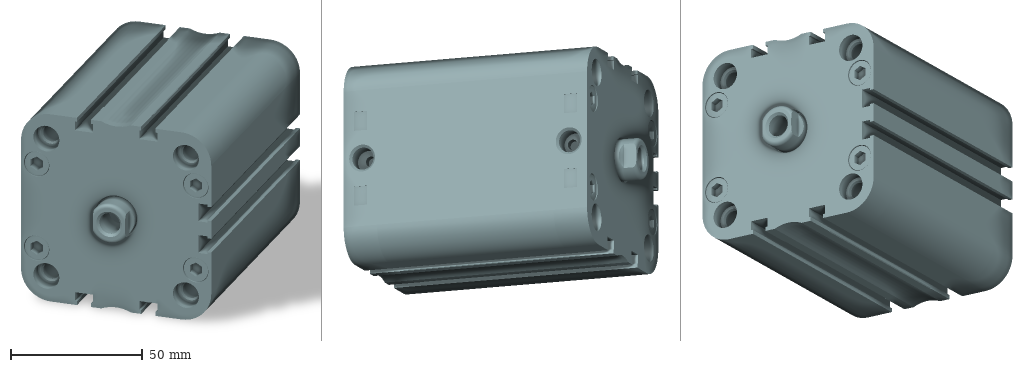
import cadquery as cq
import math


side = 77.0
half = side / 2
corner_radius = 12.0
housing_length = 99.0
cap_length = 13.6
body_length = housing_length - 2 * cap_length
front_y = 0.0
rear_y = front_y + housing_length

slot_opening = 5.7
slot_width = 7.3
slot_depth = 5.2
slot_lip = 1.6
slot_offset_top = 13.0
slot_offset_side = 6.5
slot_edge_chamfer = 0.3
hollow_width = 12.0
hollow_depth = 1.3

mount_offset = 28.25
mount_bore = 6.65
mount_mouth = 8.05
mount_counterbore = 10.5
mount_counterbore_depth = 5.0

screw_x = 32.2
screw_z = 17.3
screw_pocket = 10.3
screw_head = 9.8
screw_gap_depth = 2.0
screw_recess = 0.3
hex_across_flats = 5.0
hex_depth = 3.0

port_inset = 7.5
port_bore = 8.57
port_mouth = 10.5
port_depth = 7.0
duct_bore = 4.0
duct_shift = 0.95
duct_depth = 3.0

label_inset = 6.8
label_z = 14.6
label_length = 5.2
label_height = 7.4
label_depth = 0.2

rod_diameter = 16.0
rod_projection = 8.0
rod_end_round = 1.5
rod_gap_bore = 16.5
rod_gap_mouth = 17.5
rod_gap_depth = 2.0
rod_flats = 13.0
rod_flat_start = 1.4
rod_thread_bore = 8.38
rod_thread_mouth = 10.3
rod_thread_depth = 12.0


def prism(sketch_points, start_y, length):
    """Closed XZ polygon extruded towards +Y."""
    return cq.Workplane("XZ", origin=(0, start_y, 0)).polyline(sketch_points).close().extrude(-length)


def cylinder(diameter, start, direction, length):
    solid = cq.Solid.makeCylinder(diameter / 2, length, cq.Vector(*start), cq.Vector(*direction))
    return cq.Workplane(solid)


def chamfered_mouth(mouth, bore, start, direction):
    """45 degree countersink narrowing from the mouth to the bore."""
    depth = (mouth - bore) / 2
    cone = cq.Solid.makeCone(mouth / 2, bore / 2, depth, cq.Vector(*start), cq.Vector(*direction))
    return cq.Workplane(cone)


def slot_cutter(offset):
    """T-slot in the +Z face, running the full length of the housing."""
    lip_z = half - slot_lip
    floor_z = half - slot_depth
    points = [
        (offset + slot_opening / 2, half),
        (offset + slot_opening / 2, lip_z),
        (offset + slot_width / 2, lip_z),
        (offset + slot_width / 2, floor_z),
        (offset - slot_width / 2, floor_z),
        (offset - slot_width / 2, lip_z),
        (offset - slot_opening / 2, lip_z),
        (offset - slot_opening / 2, half),
    ]
    return prism(points, front_y, housing_length)


def slot_edge_cutter():
    """Chamfer on the slot lip nearest the centre plane, along the body only."""
    edge_x = slot_offset_top - slot_opening / 2
    points = [
        (edge_x, half),
        (edge_x, half - slot_edge_chamfer),
        (edge_x - slot_edge_chamfer, half),
    ]
    return prism(points, front_y + cap_length, body_length)


def hollow_cutter(start_y, length):
    """Circular segment removed from the top face."""
    return (
        cq.Workplane("XZ", origin=(0, start_y, 0))
        .moveTo(-hollow_width / 2, half)
        .threePointArc((0, half - hollow_depth), (hollow_width / 2, half))
        .close()
        .extrude(-length)
    )


def housing_section(start_y, length):
    """Rounded square block with the shallow hollow along its top and bottom."""
    section = (
        cq.Workplane("XY")
        .box(side, length, side)
        .edges("|Y")
        .fillet(corner_radius)
        .translate((0, start_y + length / 2, 0))
    )
    hollow = hollow_cutter(start_y, length)
    return section.cut(hollow).cut(hollow.mirror("XY"))


def housing():
    front_cap = housing_section(front_y, cap_length)
    body = housing_section(front_y + cap_length, body_length)
    rear_cap = housing_section(rear_y - cap_length, cap_length)
    return front_cap.union(body, clean=False).union(rear_cap, clean=False)


def cut_slots(part):
    """Two T-slots each on the top, bottom and +X faces."""
    for cutter in (slot_cutter(slot_offset_top), slot_edge_cutter()):
        for top_cutter in (cutter, cutter.mirror("YZ")):
            part = part.cut(top_cutter, clean=False)
            part = part.cut(top_cutter.mirror("XY"), clean=False)
    for offset in (-slot_offset_side, slot_offset_side):
        side_slot = slot_cutter(offset).rotate((0, 0, 0), (0, 1, 0), 90)
        part = part.cut(side_slot, clean=False)
    return part


def cut_mounting_holes(part):
    inward = (0, 1, 0)
    for x in (-mount_offset, mount_offset):
        for z in (-mount_offset, mount_offset):
            shoulder = (x, front_y + mount_counterbore_depth, z)
            part = part.cut(cylinder(mount_bore, (x, front_y, z), inward, housing_length), clean=False)
            part = part.cut(
                cylinder(mount_counterbore, (x, front_y, z), inward, mount_counterbore_depth), clean=False
            )
            part = part.cut(chamfered_mouth(mount_mouth, mount_bore, shoulder, inward), clean=False)
    return part


def cut_screws(part):
    """Screw heads stand in their pockets with a thin gap around them."""
    inward = (0, 1, 0)
    hex_corners = hex_across_flats / math.cos(math.pi / 6)
    for x in (-screw_x, screw_x):
        for z in (-screw_z, screw_z):
            pocket = cylinder(screw_pocket, (x, front_y, z), inward, screw_gap_depth)
            head = cylinder(screw_head, (x, front_y + screw_recess, z), inward, screw_gap_depth)
            socket = (
                cq.Workplane("XZ", origin=(x, front_y, z))
                .transformed(rotate=(0, 0, 90))
                .polygon(6, hex_corners)
                .extrude(-(screw_recess + hex_depth))
            )
            part = part.cut(pocket.cut(head), clean=False).cut(socket, clean=False)
    return part


def cut_ports(part):
    inward = (1, 0, 0)
    for end_y, to_middle in ((front_y, 1), (rear_y, -1)):
        port_y = end_y + to_middle * port_inset
        mouth = (-half, port_y, 0)
        duct_start = (-half + port_depth, port_y + to_middle * duct_shift, 0)
        part = part.cut(cylinder(port_bore, mouth, inward, port_depth), clean=False)
        part = part.cut(chamfered_mouth(port_mouth, port_bore, mouth, inward), clean=False)
        part = part.cut(cylinder(duct_bore, duct_start, inward, duct_depth), clean=False)
        for z in (-label_z, label_z):
            label = cq.Workplane("XY").box(2 * label_depth, label_length, label_height)
            part = part.cut(label.translate((-half, end_y + to_middle * label_inset, z)), clean=False)
    return part


def cut_rod_clearance(part):
    inward = (0, 1, 0)
    mouth = (0, front_y, 0)
    part = part.cut(cylinder(rod_gap_bore, mouth, inward, rod_gap_depth), clean=False)
    return part.cut(chamfered_mouth(rod_gap_mouth, rod_gap_bore, mouth, inward), clean=False)


def piston_rod():
    inward = (0, 1, 0)
    tip_y = front_y - rod_projection
    rod = cylinder(rod_diameter, (0, tip_y, 0), inward, rod_projection + rod_gap_depth)
    rod = rod.faces("<Y").edges().fillet(rod_end_round)

    runout = (rod_diameter - rod_flats) / 2
    flat_end_y = front_y - rod_flat_start
    flat = (
        cq.Workplane("XY")
        .polyline(
            [
                (rod_flats / 2, tip_y),
                (rod_diameter / 2, tip_y),
                (rod_diameter / 2, flat_end_y),
                (rod_flats / 2, flat_end_y - runout),
            ]
        )
        .close()
        .extrude(rod_diameter / 2, both=True)
    )
    rod = rod.cut(flat).cut(flat.mirror("YZ"))
    return rod, tip_y


def cut_rod_thread(part, tip_y):
    inward = (0, 1, 0)
    tip = (0, tip_y, 0)
    part = part.cut(cylinder(rod_thread_bore, tip, inward, rod_thread_depth), clean=False)
    return part.cut(chamfered_mouth(rod_thread_mouth, rod_thread_bore, tip, inward), clean=False)


part = housing()
part = cut_slots(part)
part = cut_mounting_holes(part)
part = cut_screws(part)
part = cut_ports(part)
part = cut_rod_clearance(part)
rod, rod_tip_y = piston_rod()
part = part.union(rod, clean=False)
result = cut_rod_thread(part, rod_tip_y)